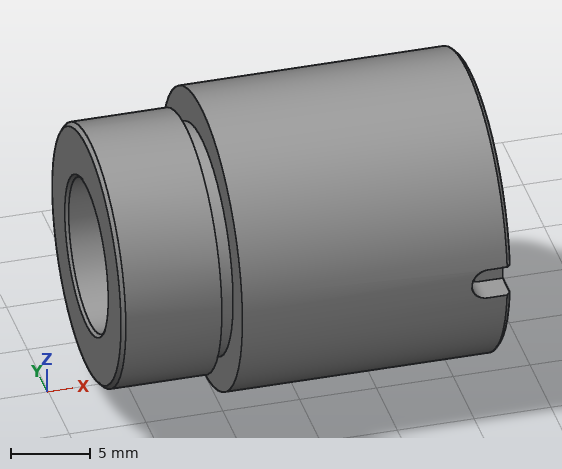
import cadquery as cq

length = 25.0
body_diameter = 19.5
neck_diameter = 17.0
groove_diameter = 15.0
bore_diameter = 10.0

groove_start = 6.5
body_start = 7.5
edge_chamfer = 0.25
bore_chamfer = 0.2

slot_width = 2.1
slot_length = 2.55
slot_depth = 2.0


def cylinder(diameter, start, end):
    return cq.Workplane("YZ", origin=(start, 0, 0)).circle(diameter / 2).extrude(end - start)


def make_sleeve():
    neck = cylinder(neck_diameter, 0, groove_start).faces("<X").chamfer(edge_chamfer)
    groove = cylinder(groove_diameter, groove_start, body_start)
    body = cylinder(body_diameter, body_start, length).faces(">X").chamfer(edge_chamfer)
    bored = neck.union(groove).union(body).cut(cylinder(bore_diameter, 0, length))
    bore_rim = bored.faces("<X").edges(cq.selectors.RadiusNthSelector(0))
    return bore_rim.chamfer(bore_chamfer)


def make_slot():
    floor_y = slot_depth - body_diameter / 2
    radius = slot_width / 2
    round_center = length - slot_length + radius
    return (
        cq.Workplane("XZ", origin=(0, floor_y, 0))
        .moveTo(length, -radius)
        .lineTo(round_center, -radius)
        .threePointArc((length - slot_length, 0), (round_center, radius))
        .lineTo(length, radius)
        .close()
        .extrude(slot_depth)
    )


result = make_sleeve().cut(make_slot())